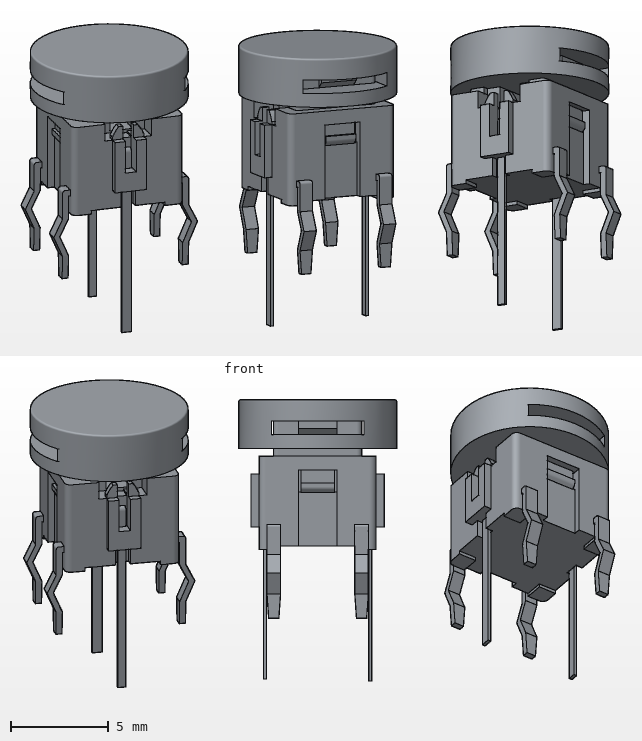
import cadquery as cq


CAP_DIAMETER = 8.1
CAP_TOP = 14.42
CAP_BOTTOM = 11.91
CAP_FILLET = 0.1
WINDOW_WIDTH = 4.73
WINDOW_TOP = 13.32
WINDOW_BOTTOM = 12.63

PLUNGER_SIDE = 4.53
PLUNGER_FILLET = 0.25
PLUNGER_RECESS_WIDTH = 2.73
PLUNGER_RECESS_DEPTH = 0.36
LAMP_SLOT_WIDTH = 1.24
LAMP_SLOT_FLOOR = 10.73
CAP_HOOK_WIDTH = 1.98
CAP_HOOK_DEPTH = 0.29
CAP_HOOK_SLOPE_TOP = 12.93

HOUSING_SIDE = 6.0
HOUSING_TOP = 11.54
HOUSING_BOTTOM = 6.92
HOUSING_FILLET = 0.33
FOOT_SIDE = 1.01
FOOT_HEIGHT = 0.19
NOTCH_WIDTH = 2.52
NOTCH_FLOOR = 10.63

PANEL_WIDTH = 1.98
PANEL_DEPTH = 0.36
PANEL_TOP = 10.82
LATCH_OPENING_BOTTOM = 9.7
LATCH_OPENING_DEPTH = 0.17
LATCH_WIDTH = 1.7
LATCH_REACH = 0.17
LATCH_TOP = 10.17
LATCH_SLOPE_TOP = 9.86
LATCH_FILLET = 0.22
LATCH_BOTTOM = 9.66

GUIDE_WIDTH = 1.7
GUIDE_REACH = 0.42
GUIDE_BOTTOM = 7.89
PRONG_TOP = 11.32
PRONG_TOP_WIDTH = 1.04
PRONG_SHOULDER_HEIGHT = 0.53
PRONG_SHOULDER_BULGE = 0.03
GUIDE_SLOT_WIDTH = 0.59
GUIDE_SLOT_FLOOR = 8.91
GUIDE_STEP_FLOOR = 10.54
CHANNEL_WIDTH = 0.78

LEAD_INNER_X = 2.61
LEAD_THICKNESS = 0.17
LEAD_TOP = 10.02
LEAD_BEND_RADIUS = 0.26
LEAD_BEND_RUN = 0.58
SHORT_LEAD_WIDTH = 0.42
SHORT_LEAD_TIP = 0.1
LONG_LEAD_WIDTH = 0.52
LONG_LEAD_TIP = 0.0

TERMINAL_X = 2.25
TERMINAL_WIDTH = 0.7
TERMINAL_THICKNESS = 0.33
TERMINAL_OUTER_Y = 3.42
TERMINAL_TOP = 8.03
TERMINAL_BEND_RADIUS = 0.15
TERMINAL_KNEE_Y = 3.9
TERMINAL_UPPER_BEND = 6.49
TERMINAL_KNEE_Z = 5.54
TERMINAL_LOWER_BEND = 4.45
TERMINAL_TIP = 3.22
TERMINAL_TIP_WIDTH = 0.53

HALF_HOUSING = HOUSING_SIDE / 2
HALF_PLUNGER = PLUNGER_SIDE / 2
PANEL_Y = HALF_HOUSING - PANEL_DEPTH
LATCH_OPENING_Y = PANEL_Y - LATCH_OPENING_DEPTH
PLUNGER_RECESS_X = HALF_PLUNGER - PLUNGER_RECESS_DEPTH


def block(x_range, y_range, z_range):
    """Box between the given limits along each axis."""
    (x0, x1), (y0, y1), (z0, z1) = x_range, y_range, z_range
    return cq.Workplane("XY").box(x1 - x0, y1 - y0, z1 - z0, centered=False).translate((x0, y0, z0))


def centred(width):
    """Limits of a span of the given width centred on zero."""
    return (-width / 2, width / 2)


def both_sides(shape, plane):
    """The shape together with its mirror image."""
    return shape.union(shape.mirror(plane))


def square_post(side, fillet, bottom, top):
    """Square post on the Z axis with rounded vertical edges."""
    return block(centred(side), centred(side), (bottom, top)).edges("|Z").fillet(fillet)


def extruded_along_x(yz_points, width):
    """Profile given as (y, z) points, extruded to a width centred on X = 0."""
    return cq.Workplane("YZ").polyline(yz_points).close().extrude(width / 2, both=True)


def make_cap():
    cap = cq.Workplane("XY").workplane(offset=CAP_BOTTOM).circle(CAP_DIAMETER / 2)
    cap = cap.extrude(CAP_TOP - CAP_BOTTOM)
    cap = cap.faces(">Z").edges().fillet(CAP_FILLET)
    return cap.cut(block(centred(WINDOW_WIDTH), centred(CAP_DIAMETER), (WINDOW_BOTTOM, WINDOW_TOP)))


def make_cap_hooks():
    """Hooks on the plunger that hold the cap, sloping back to the plunger underneath."""
    tip_y = HALF_PLUNGER + CAP_HOOK_DEPTH
    profile = [
        (HALF_PLUNGER, WINDOW_BOTTOM),
        (tip_y, CAP_HOOK_SLOPE_TOP),
        (tip_y, WINDOW_TOP),
        (HALF_PLUNGER, WINDOW_TOP),
    ]
    return both_sides(extruded_along_x(profile, CAP_HOOK_WIDTH), "XZ")


def make_housing():
    housing = square_post(HOUSING_SIDE, HOUSING_FILLET, HOUSING_BOTTOM - FOOT_HEIGHT, HOUSING_TOP)
    gap_between_feet = centred(HOUSING_SIDE - 2 * FOOT_SIDE)
    foot_zone = (HOUSING_BOTTOM - FOOT_HEIGHT, HOUSING_BOTTOM)
    housing = housing.cut(block(gap_between_feet, centred(HOUSING_SIDE), foot_zone))
    return housing.cut(block(centred(HOUSING_SIDE), gap_between_feet, foot_zone))


def make_side_notches():
    """Openings in the housing and plunger beside each lead guide."""
    notch = block((PLUNGER_RECESS_X, HALF_HOUSING), centred(NOTCH_WIDTH), (NOTCH_FLOOR, HOUSING_TOP))
    recess = block((PLUNGER_RECESS_X, HALF_PLUNGER), centred(PLUNGER_RECESS_WIDTH), (HOUSING_TOP, CAP_BOTTOM))
    return both_sides(notch.union(recess), "YZ")


def make_latch_recesses():
    panel = block(centred(PANEL_WIDTH), (PANEL_Y, HALF_HOUSING), (HOUSING_BOTTOM, PANEL_TOP))
    opening = block(centred(PANEL_WIDTH), (LATCH_OPENING_Y, PANEL_Y), (LATCH_OPENING_BOTTOM, PANEL_TOP))
    return both_sides(panel.union(opening), "XZ")


def make_latches():
    """Spring arms in the housing openings, each with a hook that rounds into a slope underneath."""
    tip_y = PANEL_Y + LATCH_REACH
    profile = [
        (LATCH_OPENING_Y, PANEL_TOP),
        (PANEL_Y, PANEL_TOP),
        (PANEL_Y, LATCH_TOP),
        (tip_y, LATCH_TOP),
        (tip_y, LATCH_SLOPE_TOP),
        (PANEL_Y, LATCH_BOTTOM),
        (LATCH_OPENING_Y, LATCH_BOTTOM),
    ]
    latch = extruded_along_x(profile, LATCH_WIDTH)
    slope_edge = cq.selectors.NearestToPointSelector((0, tip_y, LATCH_SLOPE_TOP))
    return both_sides(latch.edges(slope_edge).fillet(LATCH_FILLET), "XZ")


def make_lead_guides():
    """Blocks on the housing sides, each with two taller round-shouldered prongs behind it."""
    outer_block = block(
        (LEAD_INNER_X, HALF_HOUSING + GUIDE_REACH), centred(GUIDE_WIDTH), (GUIDE_BOTTOM, NOTCH_FLOOR)
    )
    half_width = GUIDE_WIDTH / 2
    half_top = PRONG_TOP_WIDTH / 2
    shoulder_bottom = PRONG_TOP - PRONG_SHOULDER_HEIGHT
    prongs = (
        cq.Workplane("YZ")
        .moveTo(-half_width, NOTCH_FLOOR)
        .lineTo(half_width, NOTCH_FLOOR)
        .lineTo(half_width, shoulder_bottom)
        .sagittaArc((half_top, PRONG_TOP), -PRONG_SHOULDER_BULGE)
        .lineTo(-half_top, PRONG_TOP)
        .sagittaArc((-half_width, shoulder_bottom), -PRONG_SHOULDER_BULGE)
        .close()
        .extrude((HALF_HOUSING - LEAD_INNER_X) / 2, both=True)
    )
    prongs = prongs.translate(((HALF_HOUSING + LEAD_INNER_X) / 2, 0, 0))
    return both_sides(outer_block.union(prongs), "YZ")


def make_lead_passages():
    """Slots between the guide prongs, shallow steps behind them and channels below the guides."""
    slot = block(
        (LEAD_INNER_X, HALF_HOUSING + GUIDE_REACH), centred(GUIDE_SLOT_WIDTH), (GUIDE_SLOT_FLOOR, PRONG_TOP)
    )
    step = block((PLUNGER_RECESS_X, LEAD_INNER_X), centred(GUIDE_SLOT_WIDTH), (GUIDE_STEP_FLOOR, NOTCH_FLOOR))
    channel = block((LEAD_INNER_X, HALF_HOUSING), centred(CHANNEL_WIDTH), (HOUSING_BOTTOM, GUIDE_BOTTOM))
    return both_sides(slot.union(step).union(channel), "YZ")


def make_lead(width, tip):
    """Flat lead on the +X side whose rounded top runs inward to the lamp."""
    outer_x = LEAD_INNER_X + LEAD_THICKNESS
    leg = block((LEAD_INNER_X, outer_x), centred(width), (tip, GUIDE_SLOT_FLOOR))
    bend = block((outer_x - LEAD_BEND_RUN, outer_x), centred(width), (GUIDE_SLOT_FLOOR, LEAD_TOP))
    return leg.union(bend.edges(">X and >Z").fillet(LEAD_BEND_RADIUS))


def make_terminal():
    """Kinked snap-in terminal on the +Y side with a tapered tip, centred on X = 0."""
    outer_y = TERMINAL_OUTER_Y
    inner_y = outer_y - TERMINAL_THICKNESS
    knee_inner_y = TERMINAL_KNEE_Y - TERMINAL_THICKNESS
    root_y = HALF_HOUSING - TERMINAL_THICKNESS
    profile = [
        (root_y, TERMINAL_TOP),
        (outer_y, TERMINAL_TOP),
        (outer_y, TERMINAL_UPPER_BEND),
        (TERMINAL_KNEE_Y, TERMINAL_KNEE_Z),
        (outer_y, TERMINAL_LOWER_BEND),
        (outer_y, TERMINAL_TIP),
        (inner_y, TERMINAL_TIP),
        (inner_y, TERMINAL_LOWER_BEND),
        (knee_inner_y, TERMINAL_KNEE_Z),
        (inner_y, TERMINAL_UPPER_BEND),
        (inner_y, TERMINAL_TOP - TERMINAL_THICKNESS),
        (root_y, TERMINAL_TOP - TERMINAL_THICKNESS),
    ]
    strip = extruded_along_x(profile, TERMINAL_WIDTH)
    bend_edge = cq.selectors.NearestToPointSelector((0, outer_y, TERMINAL_TOP))
    strip = strip.edges(bend_edge).fillet(TERMINAL_BEND_RADIUS)

    half_width = TERMINAL_WIDTH / 2
    half_tip = TERMINAL_TIP_WIDTH / 2
    front_outline = [
        (-half_width, TERMINAL_TOP),
        (half_width, TERMINAL_TOP),
        (half_width, TERMINAL_LOWER_BEND),
        (half_tip, TERMINAL_TIP),
        (-half_tip, TERMINAL_TIP),
        (-half_width, TERMINAL_LOWER_BEND),
    ]
    envelope = cq.Workplane("XZ").polyline(front_outline).close().extrude(-TERMINAL_KNEE_Y)
    return strip.intersect(envelope)


plunger = square_post(PLUNGER_SIDE, PLUNGER_FILLET, NOTCH_FLOOR, CAP_TOP - CAP_FILLET)
lamp_slot = block(centred(HOUSING_SIDE), centred(LAMP_SLOT_WIDTH), (LAMP_SLOT_FLOOR, CAP_BOTTOM))

result = make_housing().union(plunger).cut(lamp_slot).cut(make_side_notches())
result = result.union(make_cap()).union(make_cap_hooks())
result = result.cut(make_latch_recesses()).union(make_latches())
result = result.union(make_lead_guides()).cut(make_lead_passages())
result = result.union(make_lead(LONG_LEAD_WIDTH, LONG_LEAD_TIP))
result = result.union(make_lead(SHORT_LEAD_WIDTH, SHORT_LEAD_TIP).mirror("YZ"))

terminal_pair = both_sides(make_terminal(), "XZ")
for terminal_x in (-TERMINAL_X, TERMINAL_X):
    result = result.union(terminal_pair.translate((terminal_x, 0, 0)))